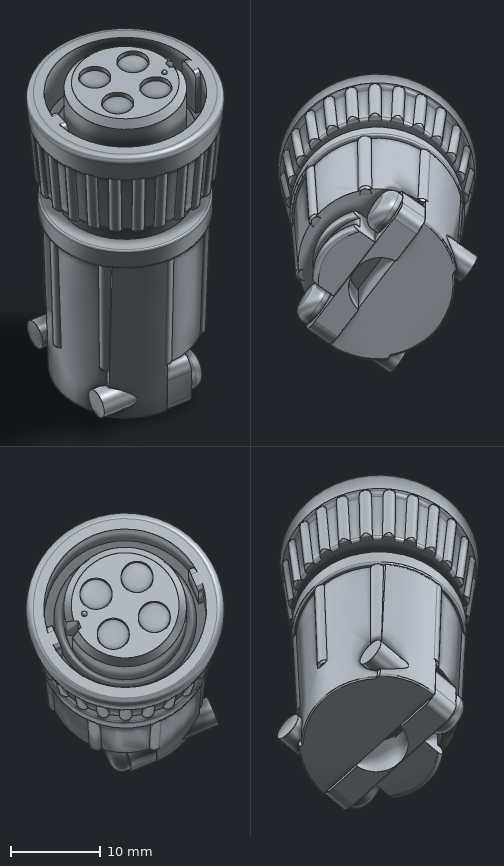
import cadquery as cq
import math

ARC_MIDDLE = math.sqrt(0.5)

CORE_TOP = 43.35
RING_TOP = 41.85
BAND_BOTTOM = 38.6
FLUTE_TOP = 37.8
CAVITY_FLOOR = 35.9
RING_BOTTOM = 29.85
COLLAR_TOP = 26.7
COLLAR_BOTTOM = 24.0
SHELL_STEP = 7.6
SHELL_BOTTOM = 0.55

CORE_RADIUS = 6.85
CORE_CHAMFER = 0.85
CONTACT_RADIUS = 1.8
CONTACT_OFFSET = 2.5
CONTACT_DEPTH = 0.6
KEYWAY_FLOOR_Y = 5.55
KEYWAY_INNER_HALF = 0.4
KEYWAY_OUTER_HALF = 1.0
DOT_X = 0.87
DOT_Y = 4.6
DOT_RADIUS = 0.3

RING_DIAMETER = 22.2
RING_RADIUS = RING_DIAMETER / 2
RING_BOTTOM_RADIUS = 10.2
RING_TOP_FILLET = 0.85
RING_BOTTOM_FILLET = 0.4
BORE_RADIUS = 9.1
RIDGE_COUNT = 24
RIDGE_RADIUS = 0.75
RIDGE_DEPTH = 0.52
RIDGE_INSET = 0.05
SEAL_SECTION_RADIUS = 0.55
RING_KEY_TIP_Y = 8.3
RING_KEY_HALF = 1.5
RING_KEY_FILLET = 0.75

NECK_RADIUS = 7.8
COLLAR_RADIUS = 9.78
COLLAR_FILLET = 0.25
SHELL_TOP_RADIUS = 9.3
SHELL_BOTTOM_RADIUS = 8.65
SHELL_EDGE_FILLET = 0.17
SIDE_STEP = 0.35
SIDE_PANEL_WIDTH = 6.15
RIB_COUNT = 8
RIB_RADIUS = 0.9
RIB_HEIGHT = 0.4
RIB_END_CHAMFER = 0.25

SADDLE_HALF_WIDTH = 9.12
SADDLE_HEIGHT = 6.9
SADDLE_DEPTH = 3.15
SADDLE_CORNER = 1.6
CHANNEL_RADIUS = 3.6
CHANNEL_CENTRE_Y = -0.5
SCREW_X = 6.7
SCREW_Z = 3.55
BOSS_RADIUS = 1.7
BOSS_END_Y = -7.75
HEAD_RADIUS = 2.55
HEAD_HEIGHT = 1.9
HEAD_RIM = 1.3
ARCH_HALF_WIDTH = 3.95
ARCH_MARGIN = 0.2
ARCH_RIM_Y = 7.4
ARCH_MIDDLE_Y = 6.65
ARCH_RISE = 1.35
ARCH_RIM_WIDTH = 1.75
ARCH_TIP_FILLET = 0.7


def ring_radius(z):
    """Outer radius of the tapered coupling ring at height z."""
    taper = (RING_RADIUS - RING_BOTTOM_RADIUS) / (RING_TOP - RING_TOP_FILLET - RING_BOTTOM)
    return RING_BOTTOM_RADIUS + taper * (z - RING_BOTTOM)


def shell_radius(z):
    """Radius of the tapered shell at height z."""
    taper = (SHELL_TOP_RADIUS - SHELL_BOTTOM_RADIUS) / (COLLAR_BOTTOM - SHELL_BOTTOM)
    return SHELL_BOTTOM_RADIUS + taper * (z - SHELL_BOTTOM)


def cylinder(radius, bottom, top):
    return cq.Workplane("XY").workplane(offset=bottom).circle(radius).extrude(top - bottom)


def revolved(outline):
    """Turn a closed (radius, height) outline about the Z axis."""
    return outline.close().revolve(360, (0, 0, 0), (0, 1, 0))


def tilted_bar(radius, low, high):
    """Round bar whose axis joins two (distance from Z axis, height) points in the XZ plane."""
    along = cq.Vector(high[0] - low[0], 0, high[1] - low[1])
    return cq.Workplane(cq.Solid.makeCylinder(radius, along.Length, cq.Vector(low[0], 0, low[1]), along))


def around_axis(body, count, start_angle):
    """Copies of body spaced evenly about the Z axis."""
    return [body.rotate((0, 0, 0), (0, 0, 1), start_angle + i * 360 / count) for i in range(count)]


def ring_envelope():
    """Smooth tapered outside of the ring with its rounded upper and lower edges."""
    shoulder_z = RING_TOP - RING_TOP_FILLET
    return revolved(
        cq.Workplane("XZ")
        .moveTo(0, RING_BOTTOM)
        .lineTo(RING_BOTTOM_RADIUS - RING_BOTTOM_FILLET, RING_BOTTOM)
        .threePointArc(
            (
                RING_BOTTOM_RADIUS - RING_BOTTOM_FILLET * (1 - ARC_MIDDLE),
                RING_BOTTOM + RING_BOTTOM_FILLET * (1 - ARC_MIDDLE),
            ),
            (RING_BOTTOM_RADIUS, RING_BOTTOM + RING_BOTTOM_FILLET),
        )
        .lineTo(RING_RADIUS, shoulder_z)
        .threePointArc(
            (RING_RADIUS - RING_TOP_FILLET * (1 - ARC_MIDDLE), shoulder_z + RING_TOP_FILLET * ARC_MIDDLE),
            (RING_RADIUS - RING_TOP_FILLET, RING_TOP),
        )
        .lineTo(0, RING_TOP)
    )


def make_ring():
    root_low = RING_BOTTOM_RADIUS - RIDGE_DEPTH
    root_high = ring_radius(FLUTE_TOP) - RIDGE_DEPTH
    band_edge = ring_radius(BAND_BOTTOM)
    fluted = revolved(
        cq.Workplane("XZ")
        .moveTo(0, RING_BOTTOM)
        .lineTo(root_low, RING_BOTTOM)
        .lineTo(root_high, FLUTE_TOP)
        .threePointArc(
            (
                root_high + (band_edge - root_high) * (1 - ARC_MIDDLE),
                FLUTE_TOP + (BAND_BOTTOM - FLUTE_TOP) * ARC_MIDDLE,
            ),
            (band_edge, BAND_BOTTOM),
        )
        .lineTo(RING_RADIUS + RIDGE_DEPTH, BAND_BOTTOM)
        .lineTo(RING_RADIUS + RIDGE_DEPTH, RING_TOP)
        .lineTo(0, RING_TOP)
    ).faces("<Z").edges().fillet(RING_BOTTOM_FILLET)
    ridge = tilted_bar(
        RIDGE_RADIUS,
        (RING_BOTTOM_RADIUS - RIDGE_INSET - RIDGE_RADIUS, RING_BOTTOM),
        (band_edge - RIDGE_INSET - RIDGE_RADIUS, BAND_BOTTOM),
    )
    for copy in around_axis(ridge, RIDGE_COUNT, 180 / RIDGE_COUNT):
        fluted = fluted.union(copy)
    ring = fluted.intersect(ring_envelope())
    return ring.cut(cylinder(BORE_RADIUS, CAVITY_FLOOR, RING_TOP))


def make_ring_keys():
    """Two opposed keys running down the bore, flush with the top of the ring."""
    depth = BORE_RADIUS - RING_KEY_TIP_Y
    bar = (
        cq.Workplane("XY")
        .box(2 * RING_KEY_HALF, depth, RING_TOP - CAVITY_FLOOR, centered=(True, False, False))
        .edges(">Z and |Y")
        .fillet(RING_KEY_FILLET)
        .translate((0, RING_KEY_TIP_Y, CAVITY_FLOOR))
    )
    return bar.union(bar.mirror("XZ"))


def make_insert():
    core = cylinder(CORE_RADIUS, CAVITY_FLOOR, CORE_TOP).faces(">Z").chamfer(CORE_CHAMFER)
    contacts = (
        cq.Workplane("XY")
        .workplane(offset=CORE_TOP - CONTACT_DEPTH)
        .rect(2 * CONTACT_OFFSET, 2 * CONTACT_OFFSET, forConstruction=True)
        .vertices()
        .circle(CONTACT_RADIUS)
        .extrude(CONTACT_DEPTH)
    )
    keyway = (
        cq.Workplane("XY")
        .workplane(offset=CAVITY_FLOOR)
        .polyline(
            [
                (-KEYWAY_INNER_HALF, KEYWAY_FLOOR_Y),
                (KEYWAY_INNER_HALF, KEYWAY_FLOOR_Y),
                (KEYWAY_OUTER_HALF, CORE_RADIUS),
                (-KEYWAY_OUTER_HALF, CORE_RADIUS),
            ]
        )
        .close()
        .extrude(CORE_TOP - CAVITY_FLOOR)
    )
    dot = cq.Workplane("XY").sphere(DOT_RADIUS).translate((DOT_X, DOT_Y, CORE_TOP))
    return core.cut(contacts).cut(keyway).union(dot)


def make_seal():
    """Round seal lying on the cavity floor against the insert."""
    centre = cq.Vector(0, 0, CAVITY_FLOOR)
    return cq.Workplane(cq.Solid.makeTorus(CORE_RADIUS + SEAL_SECTION_RADIUS, SEAL_SECTION_RADIUS, centre))


def tapered_shell(extra):
    """Shell cone with its radius enlarged by extra and its lower edge rounded."""
    return revolved(
        cq.Workplane("XZ")
        .moveTo(0, SHELL_BOTTOM)
        .lineTo(SHELL_BOTTOM_RADIUS + extra, SHELL_BOTTOM)
        .lineTo(SHELL_TOP_RADIUS + extra, COLLAR_BOTTOM)
        .lineTo(0, COLLAR_BOTTOM)
    ).faces("<Z").edges().fillet(SHELL_EDGE_FILLET)


def make_shell():
    reach = 2 * COLLAR_RADIUS
    side_slab = cq.Workplane("XY").box(
        2 * reach, SIDE_PANEL_WIDTH, COLLAR_BOTTOM, centered=(True, False, False)
    ).translate((0, -SIDE_PANEL_WIDTH, 0))
    shell = tapered_shell(0).union(tapered_shell(SIDE_STEP).intersect(side_slab))
    sink = RIB_RADIUS - RIB_HEIGHT
    rib = tilted_bar(
        RIB_RADIUS,
        (shell_radius(SHELL_STEP) - sink, SHELL_STEP),
        (shell_radius(COLLAR_BOTTOM) - sink, COLLAR_BOTTOM),
    ).faces("<Z").chamfer(RIB_END_CHAMFER)
    rear = cq.Workplane("XY").box(2 * reach, reach, SHELL_STEP, centered=(True, False, False))
    shell = shell.cut(rear)
    for copy in around_axis(rib, RIB_COUNT, 0):
        shell = shell.union(copy)
    return shell


def arch_band(bottom, top, crown_y):
    """Straight-sided band over the cable with an arched back that peaks at crown_y."""
    shoulder_y = crown_y - ARCH_RISE
    return (
        cq.Workplane("XY")
        .workplane(offset=bottom)
        .moveTo(-ARCH_HALF_WIDTH, 0)
        .lineTo(ARCH_HALF_WIDTH, 0)
        .lineTo(ARCH_HALF_WIDTH, shoulder_y)
        .threePointArc((0, crown_y), (-ARCH_HALF_WIDTH, shoulder_y))
        .close()
        .extrude(top - bottom)
    )


def make_clamp():
    saddle = (
        cq.Workplane("XY")
        .box(2 * SADDLE_HALF_WIDTH, SADDLE_DEPTH, SADDLE_HEIGHT, centered=(True, False, False))
        .edges("|Y")
        .fillet(SADDLE_CORNER)
    )
    arch = arch_band(ARCH_MARGIN, SADDLE_HEIGHT - ARCH_MARGIN, ARCH_MIDDLE_Y)
    for rim_bottom in (ARCH_MARGIN, SADDLE_HEIGHT - ARCH_MARGIN - ARCH_RIM_WIDTH):
        rim = arch_band(rim_bottom, rim_bottom + ARCH_RIM_WIDTH, ARCH_RIM_Y)
        crown_edges = rim.edges("%CIRCLE")
        arch = arch.union(crown_edges.fillet(ARCH_TIP_FILLET))
    channel = cylinder(CHANNEL_RADIUS, 0, SADDLE_HEIGHT).translate((0, CHANNEL_CENTRE_Y, 0))
    return saddle.union(arch).cut(channel)


def make_screws():
    """Screw bosses through the front of the shell, with rounded heads behind the saddle."""
    screws = cq.Workplane("XY")
    for x in (-SCREW_X, SCREW_X):
        centre = cq.Workplane("XZ", origin=(x, 0, SCREW_Z))
        boss = centre.circle(BOSS_RADIUS).extrude(-BOSS_END_Y)
        head = (
            centre.workplane(offset=-SADDLE_DEPTH)
            .circle(HEAD_RADIUS)
            .extrude(-HEAD_HEIGHT)
            .faces(">Y")
            .edges()
            .fillet(HEAD_RIM)
        )
        screws = screws.union(boss).union(head)
    return screws


neck = cylinder(NECK_RADIUS, COLLAR_TOP, RING_BOTTOM)
collar = cylinder(COLLAR_RADIUS, COLLAR_BOTTOM, COLLAR_TOP).edges().fillet(COLLAR_FILLET)

result = make_ring()
for feature in (
    make_ring_keys(),
    make_insert(),
    make_seal(),
    neck,
    collar,
    make_shell(),
    make_clamp(),
    make_screws(),
):
    result = result.union(feature)